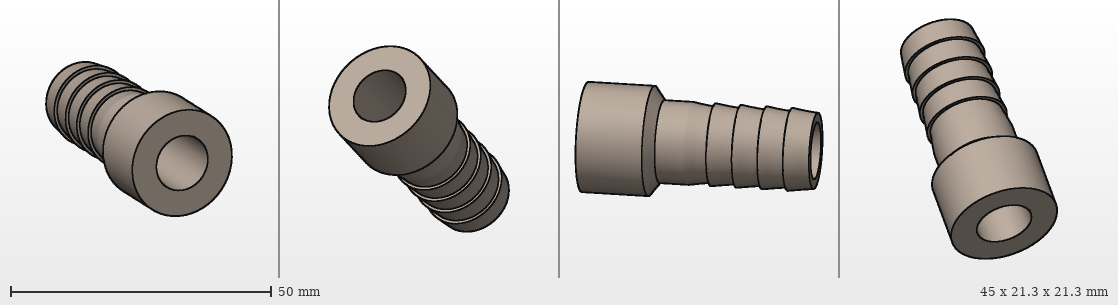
import cadquery as cq

length = 45.0
socket_diameter = 21.3
barb_diameter = 16.0
barb_root_diameter = 14.7
bore_diameter = 11.0

barb_pitch = 5.0
full_barb_count = 4
neck_start = 24.35
shoulder_start = 30.0
shoulder_end = 32.05

socket_radius = socket_diameter / 2
barb_radius = barb_diameter / 2
root_radius = barb_root_diameter / 2


def body_profile():
    """Half section of the solid body, from the axis outwards."""
    profile = cq.Workplane("XZ").moveTo(0, 0)
    for barb in range(full_barb_count):
        profile = profile.lineTo(barb * barb_pitch, root_radius)
        profile = profile.lineTo((barb + 1) * barb_pitch, barb_radius)
    profile = profile.lineTo(full_barb_count * barb_pitch, root_radius)
    profile = profile.lineTo(neck_start, barb_radius)
    profile = profile.lineTo(shoulder_start, barb_radius)
    profile = profile.lineTo(shoulder_end, socket_radius)
    profile = profile.lineTo(length, socket_radius)
    return profile.lineTo(length, 0).close()


body = body_profile().revolve(360, (0, 0, 0), (1, 0, 0))

bore = cq.Workplane("YZ").circle(bore_diameter / 2).extrude(length)

result = body.cut(bore)